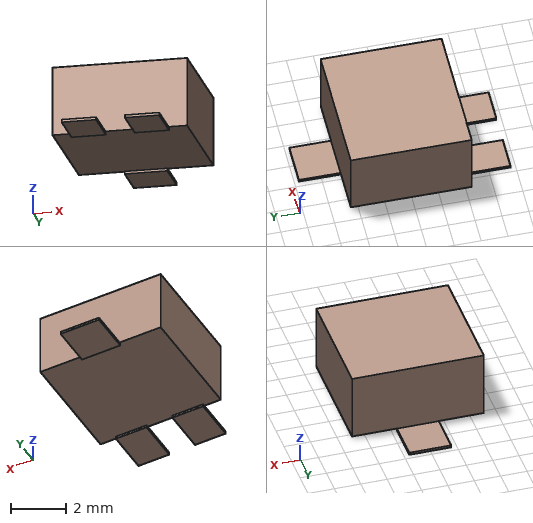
import cadquery as cq

housing_width = 5.0
housing_depth = 4.5
housing_height = 2.6

lead_thickness = 0.1

front_lead_width = 1.275
front_lead_spacing = 2.345
front_lead_reach = 1.6
front_lead_overlap = 0.1

rear_lead_width = 1.59
rear_lead_reach = 1.54
rear_lead_overlap = 0.05

front_face_y = -housing_depth / 2
rear_face_y = housing_depth / 2


def make_housing():
    """Plain rectangular block standing on Z = 0."""
    return cq.Workplane("XY").box(
        housing_width, housing_depth, housing_height, centered=(True, True, False)
    )


def make_lead(width, length, x_center, y_start):
    """Flat strip running toward +Y from y_start, with its top at Z = 0."""
    strip = cq.Workplane("XY").box(width, length, lead_thickness, centered=(True, False, False))
    return strip.translate((x_center, y_start, -lead_thickness))


housing = make_housing()

front_leads = []
for side in (-1, 1):
    front_lead = make_lead(
        front_lead_width,
        front_lead_reach + front_lead_overlap,
        side * front_lead_spacing / 2,
        front_face_y - front_lead_reach,
    )
    front_leads.append(front_lead.val())

rear_lead = make_lead(
    rear_lead_width,
    rear_lead_reach + rear_lead_overlap,
    0,
    rear_face_y - rear_lead_overlap,
)

result = cq.Compound.makeCompound([housing.val(), *front_leads, rear_lead.val()])